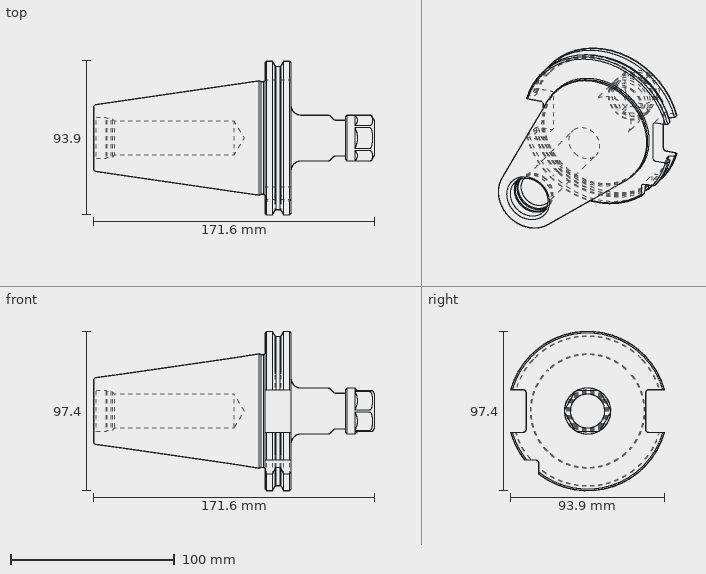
import cadquery as cq
import math

total_length = 171.6
taper_length = 101.0
taper_rate = 7 / 24
gauge_radius = 35.0
end_fillet = 1.9
x_taper_end = -taper_length
x_nut_end = total_length - taper_length

relief_depth = 0.5
relief_slope = 1.0
x_relief_end = 2.5

flange_radius = 48.7
flange_width = 16.0
flange_chamfer = 1.0
x_flange_back = 3.6
x_flange_front = x_flange_back + flange_width
groove_floor_radius = 45.6
groove_half_width = 3.5
groove_side_angle = 30.0
groove_fillet = 0.6

slot_width = 25.9
slot_floor_plus_y = 35.5
slot_floor_minus_y = 37.5
notch_y = 29.9
notch_z = 30.0
slot_fillet = 1.7

shank_radius = 14.0
neck_radius = 11.0
shank_fillet = 6.0
shoulder_fillet = 1.7
x_shoulder = 42.9

nut_radius = shank_radius
nut_length = 17.8
hex_across_flats = 25.0
hex_sides = 6
hex_turn = 180 / hex_sides
hex_inradius = hex_across_flats / 2
collar_length = 5.8
collar_chamfer = 1.0
nut_end_radius = 10.5
nut_end_chamfer = 1.2
nut_end_fillet = 1.7
x_nut_back = x_nut_end - nut_length

mouth_radius = 14.2
mouth_depth = 0.3
countersink_radius = 13.7
pilot_radius = 12.5
pilot_length = 6.0
step_length = 0.5
counterbore_radius = 12.0
counterbore_length = 2.5
lip_radius = 11.7
lip_length = 0.9
core_radius = 10.3
bore_depth = 85.8
drill_tip_angle = 118.0


def revolve_about_x(profile):
    """Solid of revolution about the X axis from a closed (x, radius) outline."""
    return profile.close().revolve(360, (0, 0, 0), (1, 0, 0))


def fillet_circle_at(body, x, radius):
    """Round the circular edge whose centre lies on the X axis nearest to x."""
    nearest = cq.selectors.NearestToPointSelector((x, 0, 0))
    return body.edges("%CIRCLE").edges(nearest).fillet(radius)


def make_taper():
    """Cone from the rounded small end to the flange, with the relief groove at its large end."""
    end_radius = gauge_radius - taper_length * taper_rate / 2
    taper = revolve_about_x(
        cq.Workplane("XY")
        .moveTo(x_taper_end, 0)
        .lineTo(x_taper_end, end_radius)
        .lineTo(0, gauge_radius)
        .lineTo(relief_slope, gauge_radius - relief_depth)
        .lineTo(x_relief_end, gauge_radius - relief_depth)
        .lineTo(x_flange_back, gauge_radius)
        .lineTo(x_flange_back, 0)
    )
    return taper.faces("<X").edges().fillet(end_fillet)


def make_gripper_groove():
    """Ring with the V-shaped section of the groove, its floor corners rounded."""
    x_middle = x_flange_back + flange_width / 2
    depth = flange_radius - groove_floor_radius
    floor_half_width = groove_half_width - depth * math.tan(math.radians(groove_side_angle))
    ring = revolve_about_x(
        cq.Workplane("XY")
        .moveTo(x_middle - groove_half_width, flange_radius)
        .lineTo(x_middle - floor_half_width, groove_floor_radius)
        .lineTo(x_middle + floor_half_width, groove_floor_radius)
        .lineTo(x_middle + groove_half_width, flange_radius)
    )
    smallest_circles = cq.selectors.RadiusNthSelector(0)
    return ring.edges(smallest_circles).fillet(groove_fillet)


def flange_cutter(y_min, y_max, z_min, z_max, rounded_edges):
    """Block cutting through the flange width, with its inner long edges rounded."""
    block = (
        cq.Workplane("XY")
        .box(flange_width, y_max - y_min, z_max - z_min, centered=False)
        .translate((x_flange_back, y_min, z_min))
    )
    return block.edges("|X").edges(rounded_edges).fillet(slot_fillet)


def make_flange():
    """Chamfered disc with the gripper groove, two drive slots and the orientation notch."""
    flange = (
        cq.Workplane("YZ", origin=(x_flange_back, 0, 0))
        .circle(flange_radius)
        .extrude(flange_width)
        .faces("<X or >X")
        .edges()
        .chamfer(flange_chamfer)
    )
    half_slot = slot_width / 2
    plus_y_slot = flange_cutter(slot_floor_plus_y, flange_radius, -half_slot, half_slot, "<Y")
    minus_y_slot = flange_cutter(-flange_radius, -slot_floor_minus_y, -half_slot, half_slot, ">Y")
    notch = flange_cutter(-flange_radius, -notch_y, -flange_radius, -notch_z, ">Y and >Z")
    for cutter in (make_gripper_groove(), plus_y_slot, minus_y_slot, notch):
        flange = flange.cut(cutter)
    return flange


def make_shank():
    """Shank with a concave fillet at the flange and a rounded 45 degree shoulder to the neck."""
    shoulder_length = shank_radius - neck_radius
    shank = revolve_about_x(
        cq.Workplane("XY")
        .moveTo(x_flange_front, 0)
        .lineTo(x_flange_front, shank_radius + shank_fillet)
        .radiusArc((x_flange_front + shank_fillet, shank_radius), -shank_fillet)
        .lineTo(x_shoulder, shank_radius)
        .lineTo(x_shoulder + shoulder_length, neck_radius)
        .lineTo(x_nut_back, neck_radius)
        .lineTo(x_nut_back, 0)
    )
    shank = fillet_circle_at(shank, x_shoulder, shoulder_fillet)
    return fillet_circle_at(shank, x_shoulder + shoulder_length, shoulder_fillet)


def make_bore():
    """Stepped cutter: countersink, pilot, counterbore and core hole with a drill tip."""
    x_countersink = x_taper_end + mouth_depth
    x_pilot = x_countersink + countersink_radius - pilot_radius
    x_counterbore = x_pilot + pilot_length
    x_step = x_counterbore + step_length
    x_lip = x_step + counterbore_length
    x_cone = x_lip + lip_length
    x_core = x_cone + lip_radius - core_radius
    x_bottom = x_taper_end + bore_depth
    tip_length = core_radius / math.tan(math.radians(drill_tip_angle / 2))
    return revolve_about_x(
        cq.Workplane("XY")
        .moveTo(x_taper_end, 0)
        .lineTo(x_taper_end, mouth_radius)
        .lineTo(x_countersink, countersink_radius)
        .lineTo(x_pilot, pilot_radius)
        .lineTo(x_counterbore, pilot_radius)
        .lineTo(x_step, counterbore_radius)
        .lineTo(x_lip, counterbore_radius)
        .lineTo(x_cone, lip_radius)
        .lineTo(x_core, core_radius)
        .lineTo(x_bottom, core_radius)
        .lineTo(x_bottom + tip_length, 0)
    )


def make_holder():
    return make_taper().union(make_flange()).union(make_shank()).cut(make_bore())


def make_nut():
    """Hexagon nut with a round collar, its corners turned to the collar radius."""
    x_collar_end = x_nut_back + collar_length
    corner_depth = nut_radius - hex_inradius
    end_cone_slope = nut_end_chamfer / (hex_inradius - nut_end_radius)
    x_end_cone = x_nut_end - end_cone_slope * (nut_radius - nut_end_radius)
    collar = revolve_about_x(
        cq.Workplane("XY")
        .moveTo(x_nut_back, 0)
        .lineTo(x_nut_back, nut_radius - collar_chamfer)
        .lineTo(x_nut_back + collar_chamfer, nut_radius)
        .lineTo(x_collar_end, nut_radius)
        .lineTo(x_collar_end + corner_depth, hex_inradius)
        .lineTo(x_collar_end + corner_depth, 0)
    )
    turned_blank = revolve_about_x(
        cq.Workplane("XY")
        .moveTo(x_collar_end, 0)
        .lineTo(x_collar_end, nut_radius)
        .lineTo(x_end_cone, nut_radius)
        .lineTo(x_nut_end, nut_end_radius)
        .lineTo(x_nut_end, 0)
    )
    turned_blank = fillet_circle_at(turned_blank, x_end_cone, nut_end_fillet)
    hexagon = (
        cq.Workplane("YZ", origin=(x_collar_end, 0, 0))
        .polygon(hex_sides, hex_across_flats, circumscribed=True)
        .extrude(x_nut_end - x_collar_end)
        .rotate((0, 0, 0), (1, 0, 0), hex_turn)
    )
    return collar.union(hexagon.intersect(turned_blank))


holder = make_holder()
nut = make_nut()
result = cq.Compound.makeCompound([holder.val(), nut.val()])